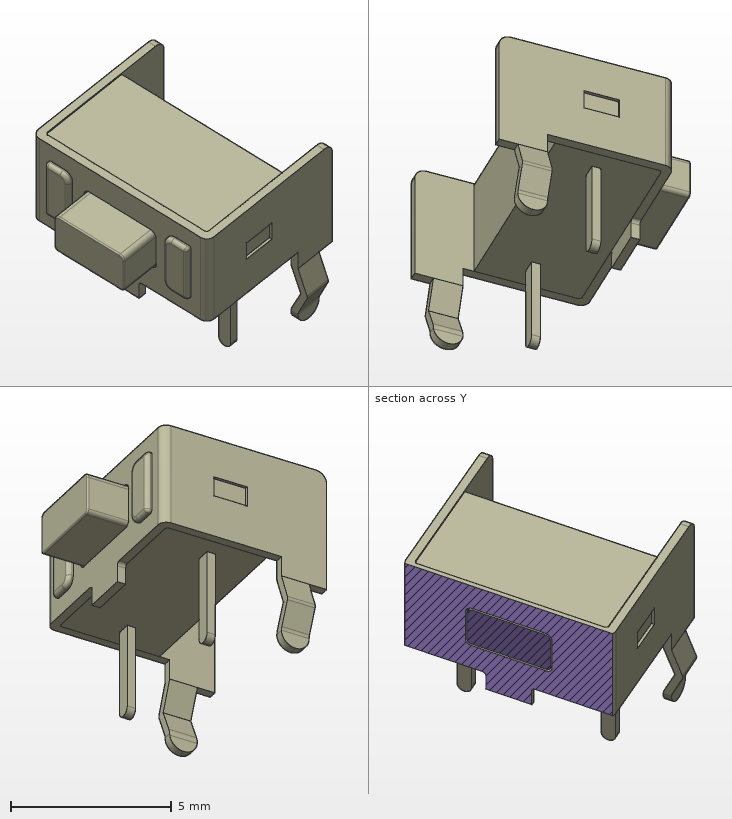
import cadquery as cq


sheet = 0.3
cover_width = 7.3
cover_depth = 5.9
cover_height = 3.58
bend_outer_radius = 0.3
bend_inner_radius = 0.1
wall_corner_radius = 0.4
half_width = cover_width / 2
inner_half_width = half_width - sheet
mid_height = cover_height / 2

skirt_drop = 0.71
skirt_length = 1.63
tab_width = 1.6
tab_root_radius = 0.12

total_height = 6.8
lowest_z = cover_height - total_height
foot_width = 1.0
foot_front_y = cover_depth - skirt_length
foot_end_radius = foot_width / 2
foot_mid_y = foot_front_y + foot_width / 2
knee_z = -1.73
knee_inner_x = 3.76
knee_outer_x = 4.048
ankle_z = -2.65
knee_radius = 0.15
ankle_radius = 0.3

window_length = 1.2
window_height = 0.7
window_y = 2.44
window_z = 1.83
lug_recess = 0.1

pad_width = 1.0
pad_height = 2.24
pad_rise = 0.2
pad_x = 2.46
pad_inner_corner_radius = 0.35
pad_outer_corner_radius = 0.1
pad_edge_radius = 0.15

button_width = 2.9
button_height = 1.5
button_reach = 1.45
button_top_corner_radius = 0.2
button_bottom_corner_radius = 0.14
button_edge_radius = 0.05
button_clearance = 0.05

housing_rear_y = 3.9
housing_top_gap = 0.05
pin_width = 0.5
pin_thickness = 0.3
pin_x = 2.5
pin_front_y = 2.11

ALMOST_FULL = 0.999
SIDES = (-1, 1)


def box(x_range, y_range, z_range):
    """Box between the given limits."""
    limits = (x_range, y_range, z_range)
    lengths = [high - low for low, high in limits]
    return cq.Workplane("XY").box(*lengths, centered=False).translate(tuple(low for low, high in limits))


def mirror_to(side, body):
    """Body built on +X, mirrored across the mid plane for side -1."""
    return body if side > 0 else body.mirror("YZ")


def make_wrap():
    """U-shaped sheet: front wall and two side walls, tall enough for the skirts."""
    outer = box((-half_width, half_width), (0, cover_depth), (-skirt_drop, cover_height))
    outer = outer.edges("|Z and <Y").fillet(bend_outer_radius)
    inner = box((-inner_half_width, inner_half_width), (sheet, cover_depth), (-skirt_drop, cover_height))
    inner = inner.edges("|Z and <Y").fillet(bend_inner_radius)
    return outer.cut(inner)


def make_side_profile():
    """Side-wall outline with the rear skirt and the rounded top rear corner."""
    body = box((-half_width, half_width), (0, cover_depth), (0, cover_height))
    skirt = box((-half_width, half_width), (foot_front_y, cover_depth), (-skirt_drop, cover_height))
    profile = body.union(skirt)
    return profile.edges("|X and >Y and >Z").fillet(wall_corner_radius)


def make_tab():
    """Tab below the front wall, flared by concave fillets at its root."""
    half = tab_width / 2
    flare = half + tab_root_radius
    return (
        cq.Workplane("XZ")
        .moveTo(-half, -skirt_drop)
        .lineTo(half, -skirt_drop)
        .lineTo(half, -tab_root_radius)
        .radiusArc((flare, 0), tab_root_radius)
        .lineTo(flare, sheet)
        .lineTo(-flare, sheet)
        .lineTo(-flare, 0)
        .radiusArc((-half, -tab_root_radius), tab_root_radius)
        .close()
        .extrude(-sheet)
    )


def make_foot(side):
    """Kinked foot with a rounded knee and ankle and a full-round lower end."""
    strip = (
        cq.Workplane("XZ")
        .polyline([
            (inner_half_width, -skirt_drop),
            (half_width, -skirt_drop),
            (knee_outer_x, knee_z),
            (half_width, ankle_z),
            (half_width, lowest_z),
            (inner_half_width, lowest_z),
            (inner_half_width, ankle_z),
            (knee_inner_x, knee_z),
        ])
        .close()
        .extrude(-foot_width)
        .translate((0, foot_front_y, 0))
    )
    knee_edge = cq.selectors.NearestToPointSelector((knee_outer_x, foot_mid_y, knee_z))
    ankle_outer_edge = cq.selectors.NearestToPointSelector((half_width, foot_mid_y, ankle_z))
    ankle_inner_edge = cq.selectors.NearestToPointSelector((inner_half_width, foot_mid_y, ankle_z))
    strip = strip.edges(knee_edge).fillet(knee_radius)
    strip = strip.edges(ankle_outer_edge).fillet(ankle_radius)
    strip = strip.edges(ankle_inner_edge).fillet(ankle_radius + sheet)
    strip = strip.edges("|X and <Z").fillet(foot_end_radius * ALMOST_FULL)
    return mirror_to(side, strip)


def make_pad(side):
    """D-shaped raised pad, rounded towards the button."""
    pad = box(
        (pad_x - pad_width / 2, pad_x + pad_width / 2),
        (-pad_rise, 0),
        (mid_height - pad_height / 2, mid_height + pad_height / 2),
    )
    pad = pad.edges("|Y and <X").fillet(pad_inner_corner_radius)
    pad = pad.edges("|Y and >X").fillet(pad_outer_corner_radius)
    return mirror_to(side, pad.faces("<Y").edges().fillet(pad_edge_radius))


def make_window(side, inset):
    """Block filling a side window from the inner sheet face to the given inset below the outer face."""
    block = box(
        (inner_half_width, half_width - inset),
        (window_y - window_length / 2, window_y + window_length / 2),
        (window_z - window_height / 2, window_z + window_height / 2),
    )
    return mirror_to(side, block)


def make_button_block(clearance, rear_y, front_y):
    """Rounded rectangular block along Y, grown by the clearance on all sides."""
    half_x = button_width / 2 + clearance
    half_z = button_height / 2 + clearance
    block = box((-half_x, half_x), (front_y, rear_y), (mid_height - half_z, mid_height + half_z))
    block = block.edges("|Y and >Z").fillet(button_top_corner_radius + clearance)
    return block.edges("|Y and <Z").fillet(button_bottom_corner_radius + clearance)


def make_cover():
    """Sheet-metal cover with feet, tab, pads, windows and button opening."""
    cover = make_wrap().intersect(make_side_profile()).union(make_tab())
    for side in SIDES:
        cover = cover.union(make_foot(side))
        cover = cover.union(make_pad(side))
        cover = cover.cut(make_window(side, 0))
    return cover.cut(make_button_block(button_clearance, sheet, 0))


def make_pin(side):
    """Straight flat pin below the housing with a full-round lower end."""
    pin = box(
        (pin_x - pin_width / 2, pin_x + pin_width / 2),
        (pin_front_y, pin_front_y + pin_thickness),
        (lowest_z, 0),
    )
    return mirror_to(side, pin.edges("|Y and <Z").fillet(pin_width / 2 * ALMOST_FULL))


def make_housing():
    """Plastic block filling the cover, with a lug in each window and two pins."""
    housing = box(
        (-inner_half_width, inner_half_width),
        (sheet, housing_rear_y),
        (0, cover_height - housing_top_gap),
    )
    housing = housing.edges("|Z and <Y").fillet(bend_inner_radius)
    for side in SIDES:
        housing = housing.union(make_window(side, lug_recess))
        housing = housing.union(make_pin(side))
    return housing


def make_button():
    """Push button standing on the housing front, with a softened end face."""
    button = make_button_block(0, sheet, -button_reach)
    return button.faces("<Y").edges().fillet(button_edge_radius)


cover = make_cover()
housing = make_housing()
button = make_button()

result = cq.Compound.makeCompound([cover.solids().val(), housing.solids().val(), button.solids().val()])